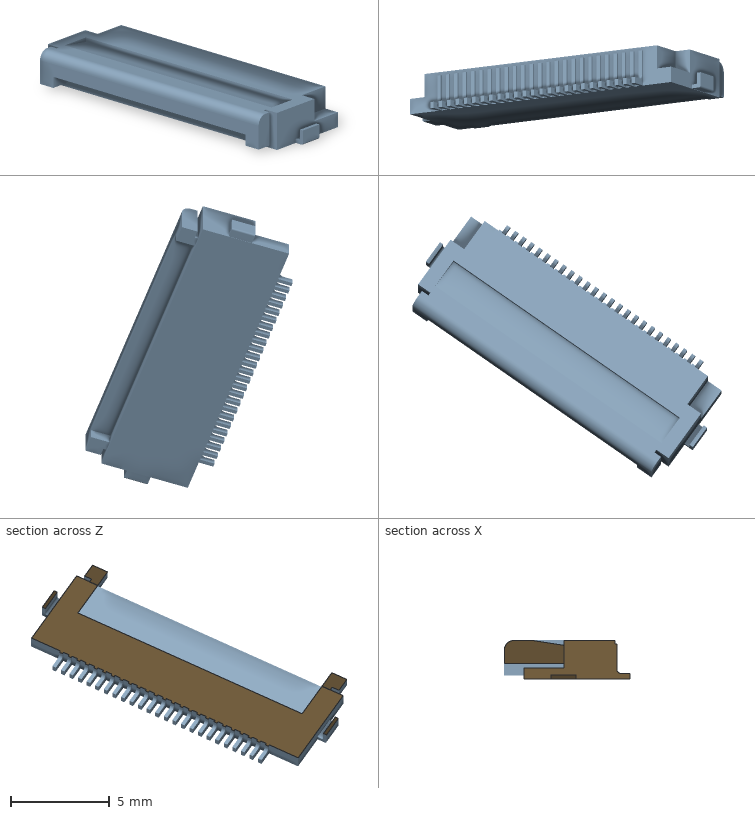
import cadquery as cq

TOTAL_LENGTH = 16.6
TOTAL_DEPTH = 6.4
HEIGHT = 2.0
REAR_Y = TOTAL_DEPTH / 2
FRONT_Y = -REAR_Y

HOUSING_LENGTH = 15.57
HOUSING_REAR_Y = 2.42
HOUSING_FRONT_Y = -2.2
CORNER_NOTCH_WIDTH = 0.85
CORNER_NOTCH_FRONT_Y = 0.63
SHELF_Z = 0.8
CABLE_FLOOR_Z = 0.6

ACTUATOR_LENGTH = 14.85
TONGUE_LENGTH = 14.06
TONGUE_REAR_Y = -0.17
BAR_REAR_Y = -2.37
SLOPE_FRONT_Y = -1.78
SLOPE_DROP = 0.25
BAR_RADIUS = 0.51
FOOT_BOTTOM_Z = 0.2
CABLE_OPENING = 13.06

CONTACT_COUNT = 25
CONTACT_SPAN = 12.0
CONTACT_PITCH = CONTACT_SPAN / (CONTACT_COUNT - 1)
CONTACT_WIDTH = 0.2
CONTACT_LEG_TOP_Z = 1.81
CONTACT_LEG_THICKNESS = 0.1
CONTACT_FOOT_THICKNESS = 0.32
CONTACT_BEND_RADIUS = 0.2

BRACKET_REAR_Y = 0.43
BRACKET_FRONT_Y = -0.81
BRACKET_BOTTOM_Z = 0.02
BRACKET_THICKNESS = 0.2
BRACKET_OUTER_RADIUS = 0.08
BRACKET_INNER_RADIUS = 0.07


def block(length, front_y, rear_y, bottom_z, top_z, center_x=0.0):
    """Axis-aligned block, centred on center_x."""
    return (
        cq.Workplane("XY")
        .box(length, rear_y - front_y, top_z - bottom_z, centered=(True, False, False))
        .translate((center_x, front_y, bottom_z))
    )


def make_contact(x):
    """L-shaped contact whose leg runs up the rear wall of the housing."""
    leg_rear_y = HOUSING_REAR_Y + CONTACT_LEG_THICKNESS
    return (
        cq.Workplane("YZ")
        .moveTo(HOUSING_REAR_Y, 0)
        .lineTo(REAR_Y, 0)
        .lineTo(REAR_Y, CONTACT_FOOT_THICKNESS)
        .lineTo(leg_rear_y + CONTACT_BEND_RADIUS, CONTACT_FOOT_THICKNESS)
        .radiusArc((leg_rear_y, CONTACT_FOOT_THICKNESS + CONTACT_BEND_RADIUS), CONTACT_BEND_RADIUS)
        .lineTo(leg_rear_y, CONTACT_LEG_TOP_Z)
        .lineTo(HOUSING_REAR_Y, CONTACT_LEG_TOP_Z)
        .close()
        .extrude(CONTACT_WIDTH / 2, both=True)
        .translate((x, 0, 0))
    )


def make_bracket():
    """Strap through the housing, bent up into a solder tab at each end."""
    bracket = block(TOTAL_LENGTH, BRACKET_FRONT_Y, BRACKET_REAR_Y, BRACKET_BOTTOM_Z, SHELF_Z)
    bracket = bracket.edges("|Y and <Z").fillet(BRACKET_OUTER_RADIUS)
    inside = block(
        TOTAL_LENGTH - 2 * BRACKET_THICKNESS,
        BRACKET_FRONT_Y,
        BRACKET_REAR_Y,
        BRACKET_BOTTOM_Z + BRACKET_THICKNESS,
        SHELF_Z,
    )
    return bracket.cut(inside.edges("|Y and <Z").fillet(BRACKET_INNER_RADIUS))


def make_actuator():
    """Locking bar with two feet, a neck up to the housing face and a sloped tongue."""
    bar = block(ACTUATOR_LENGTH, FRONT_Y, BAR_REAR_Y, FOOT_BOTTOM_Z, HEIGHT)
    bar = bar.edges("|X and <Y and >Z").fillet(BAR_RADIUS)
    neck = block(TONGUE_LENGTH, BAR_REAR_Y, HOUSING_FRONT_Y, FOOT_BOTTOM_Z, HEIGHT)
    opening = block(CABLE_OPENING, FRONT_Y, HOUSING_FRONT_Y, FOOT_BOTTOM_Z, SHELF_Z)
    tongue = (
        cq.Workplane("YZ")
        .polyline([
            (HOUSING_FRONT_Y, SHELF_Z),
            (TONGUE_REAR_Y, SHELF_Z),
            (TONGUE_REAR_Y, HEIGHT - SLOPE_DROP),
            (SLOPE_FRONT_Y, HEIGHT),
            (HOUSING_FRONT_Y, HEIGHT),
        ])
        .close()
        .extrude(TONGUE_LENGTH / 2, both=True)
    )
    return bar.union(neck).cut(opening).union(tongue).clean()


def make_housing(bracket):
    """Housing with its contacts, recessed for the actuator, cable and bracket."""
    housing = block(HOUSING_LENGTH, HOUSING_FRONT_Y, HOUSING_REAR_Y, 0, HEIGHT)
    for side in (-1, 1):
        notch_x = side * (HOUSING_LENGTH - CORNER_NOTCH_WIDTH) / 2
        housing = housing.cut(
            block(CORNER_NOTCH_WIDTH, CORNER_NOTCH_FRONT_Y, HOUSING_REAR_Y, SHELF_Z, HEIGHT, notch_x)
        )
    housing = housing.cut(block(TONGUE_LENGTH, HOUSING_FRONT_Y, TONGUE_REAR_Y, SHELF_Z, HEIGHT))
    housing = housing.cut(block(CABLE_OPENING, HOUSING_FRONT_Y, TONGUE_REAR_Y, CABLE_FLOOR_Z, SHELF_Z))
    for index in range(CONTACT_COUNT):
        housing = housing.union(make_contact(index * CONTACT_PITCH - CONTACT_SPAN / 2))
    return housing.cut(bracket)


solder_bracket = make_bracket()
actuator = make_actuator()
housing = make_housing(solder_bracket)

result = cq.Compound.makeCompound([housing.val(), actuator.val(), solder_bracket.val()])